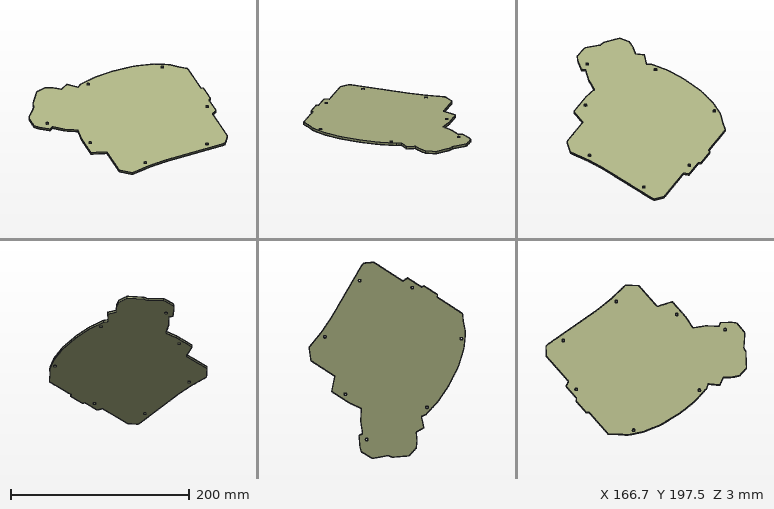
import cadquery as cq

thickness = 3.0
hole_diameter = 3.0

tab_top = 197.5
upper_edge = 195.0
right_shoulder = 189.0
right_ledge = 55.9
lower_ledge = 39.3

left_bow = [
    (15.2, 71.1),
    (12.2, 75.6),
    (9.3, 94.2),
    (9.0, 98.2),
    (9.0, 117.5),
    (9.7, 121.3),
    (11.8, 139.5),
    (12.6, 143.5),
    (17.5, 159.8),
    (18.8, 163.3),
    (25.7, 176.5),
    (28.0, 180.0),
    (35.5, 187.5),
]
top_edge = [
    (41.7, upper_edge),
    (75.8, upper_edge),
    (77.0, tab_top),
    (95.2, tab_top),
    (97.0, upper_edge),
    (115.7, upper_edge),
    (118.3, right_shoulder),
    (157.5, right_shoulder),
]
right_side = [
    (166.3, 181.9),
    (166.7, 178.7),
    (162.1, 110.6),
    (162.1, 90.7),
    (164.1, 67.3),
]
lower_steps = [
    (154.0, right_ledge),
    (121.9, right_ledge),
    (115.1, lower_ledge),
    (91.2, lower_ledge),
    (76.6, 41.5),
]
thumb_lobe = [
    (69.3, 29.0),
    (59.5, 18.2),
    (61.6, 14.0),
    (53.7, 4.0),
    (49.2, 0.0),
    (36.0, 0.4),
    (34.2, 1.0),
    (21.7, 13.0),
    (16.8, 14.0),
    (1.8, 25.9),
    (0.0, 37.7),
    (3.8, 45.0),
    (10.0, 53.0),
    (5.7, 61.8),
]

hole_centers = [
    (105.5, 188.6),
    (27.0, 170.2),
    (159.0, 162.7),
    (156.0, 87.5),
    (15.8, 83.3),
    (100.5, 45.2),
    (52.0, 15.2),
]


def make_plate():
    """Flat plate bounded by the complete outline."""
    outline = left_bow + top_edge + right_side + lower_steps + thumb_lobe
    return cq.Workplane("XY").polyline(outline).close().extrude(thickness)


def drill_screw_holes(plate):
    """Plain through holes spread around the rim."""
    return plate.faces(">Z").workplane(origin=(0, 0, thickness)).pushPoints(hole_centers).hole(hole_diameter)


result = drill_screw_holes(make_plate())